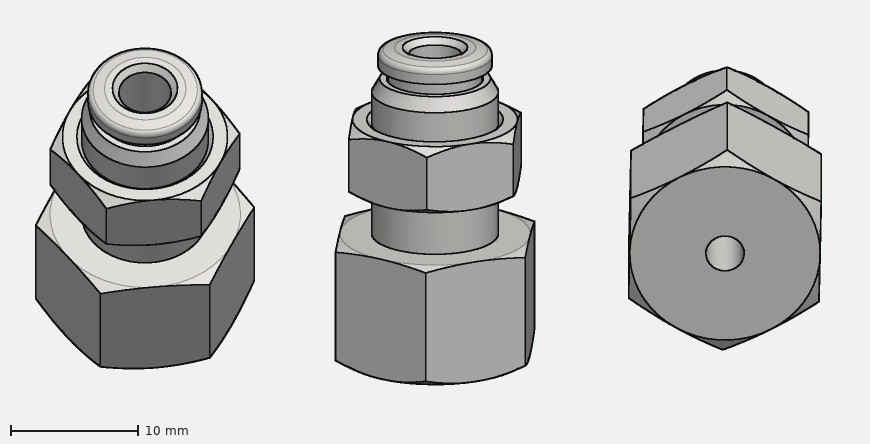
import cadquery as cq
import math


body_hex_flats = 15.0
body_hex_height = 10.0
body_hex_top_angle = 14.0
hex_chamfer_angle = 30.0
stem_diameter = 10.0
stem_shoulder_z = 21.8
stem_top_z = 22.92
stem_top_diameter = 8.72
through_diameter = 3.0
socket_diameter = 7.6
socket_floor_z = 19.0
tube_seat_angle = 30.0

nut_flats = 13.0
nut_bottom_z = 14.0
nut_height = 5.5
nut_mouth_diameter = 10.74
nut_mouth_depth = (nut_mouth_diameter - stem_diameter) / 2

sleeve_top_z = 25.5
sleeve_rim_bottom_z = 24.0
sleeve_rim_diameter = 9.0
sleeve_rim_straight_top_z = 24.84
sleeve_shoulder_diameter = 8.2
sleeve_shoulder_z = 25.32
sleeve_land_diameter = 6.4
sleeve_neck_diameter = 7.4
sleeve_mouth_diameter = 5.13
sleeve_bore_diameter = 4.1
sleeve_mouth_depth = (sleeve_mouth_diameter - sleeve_bore_diameter) / 2


def slope_height(large_diameter, small_diameter, angle):
    """Height of a cone whose side rises at the given angle from horizontal."""
    return (large_diameter - small_diameter) / 2 * math.tan(math.radians(angle))


def cylinder(diameter, bottom_z, top_z):
    return cq.Workplane("XY").workplane(offset=bottom_z).circle(diameter / 2).extrude(top_z - bottom_z)


def cone(bottom_diameter, top_diameter, bottom_z, height):
    return cq.Workplane(
        cq.Solid.makeCone(bottom_diameter / 2, top_diameter / 2, height, cq.Vector(0, 0, bottom_z))
    )


def chamfered_hex(flats, bottom_z, height, bottom_angle, top_angle):
    """Hexagonal prism, corners on the X axis, with conically turned end faces."""
    corners = flats / math.cos(math.radians(30))
    top_z = bottom_z + height
    bottom_drop = slope_height(corners, flats, bottom_angle)
    top_drop = slope_height(corners, flats, top_angle)
    prism = cq.Workplane("XY").workplane(offset=bottom_z).polygon(6, corners).extrude(height)
    turned_envelope = (
        cq.Workplane("XZ")
        .moveTo(0, bottom_z)
        .lineTo(flats / 2, bottom_z)
        .lineTo(corners / 2, bottom_z + bottom_drop)
        .lineTo(corners / 2, top_z - top_drop)
        .lineTo(flats / 2, top_z)
        .lineTo(0, top_z)
        .close()
        .revolve(360, (0, 0, 0), (0, 1, 0))
    )
    return prism.intersect(turned_envelope)


def make_body():
    hexagon = chamfered_hex(body_hex_flats, 0, body_hex_height, hex_chamfer_angle, body_hex_top_angle)
    stem = cylinder(stem_diameter, body_hex_height, stem_shoulder_z)
    stem_tip = cone(stem_diameter, stem_top_diameter, stem_shoulder_z, stem_top_z - stem_shoulder_z)
    socket = cylinder(socket_diameter, socket_floor_z, stem_top_z)
    seat_height = slope_height(sleeve_bore_diameter, through_diameter, tube_seat_angle)
    tube_seat = cone(through_diameter, sleeve_bore_diameter, socket_floor_z - seat_height, seat_height)
    through_hole = cylinder(through_diameter, 0, stem_top_z)
    return hexagon.union(stem).union(stem_tip).cut(socket).cut(tube_seat).cut(through_hole)


def make_nut():
    top_z = nut_bottom_z + nut_height
    hexagon = chamfered_hex(nut_flats, nut_bottom_z, nut_height, hex_chamfer_angle, hex_chamfer_angle)
    bore = cylinder(stem_diameter, nut_bottom_z, top_z)
    top_mouth = cone(stem_diameter, nut_mouth_diameter, top_z - nut_mouth_depth, nut_mouth_depth)
    bottom_mouth = cone(nut_mouth_diameter, stem_diameter, nut_bottom_z, nut_mouth_depth)
    return hexagon.cut(bore).cut(top_mouth).cut(bottom_mouth)


def make_sleeve():
    return (
        cq.Workplane("XZ")
        .moveTo(sleeve_bore_diameter / 2, socket_floor_z)
        .lineTo(sleeve_neck_diameter / 2, socket_floor_z)
        .lineTo(sleeve_neck_diameter / 2, sleeve_rim_bottom_z)
        .lineTo(sleeve_rim_diameter / 2, sleeve_rim_bottom_z)
        .lineTo(sleeve_rim_diameter / 2, sleeve_rim_straight_top_z)
        .tangentArcPoint((sleeve_shoulder_diameter / 2, sleeve_shoulder_z), relative=False)
        .lineTo(sleeve_land_diameter / 2, sleeve_top_z)
        .lineTo(sleeve_mouth_diameter / 2, sleeve_top_z)
        .lineTo(sleeve_bore_diameter / 2, sleeve_top_z - sleeve_mouth_depth)
        .close()
        .revolve(360, (0, 0, 0), (0, 1, 0))
    )


body = make_body()
lock_nut = make_nut()
release_sleeve = make_sleeve()

result = cq.Compound.makeCompound([body.val(), lock_nut.val(), release_sleeve.val()])